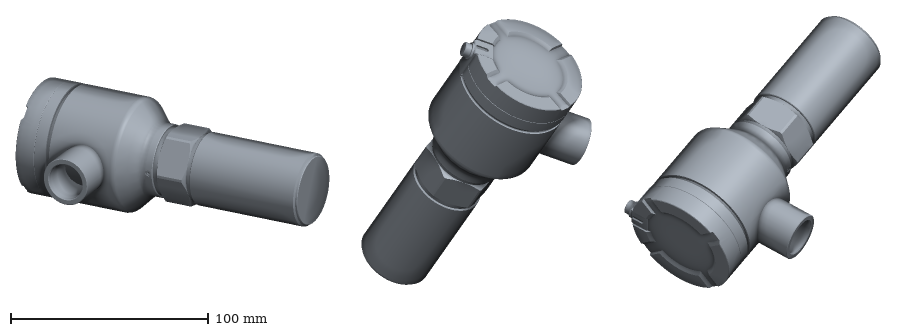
import cadquery as cq
import math


cut_clearance = 1.5

total_length = 154.5
body_radius = 30.0
lid_edge_chamfer = 0.3
lid_seam_x = 10.5
lid_seam_width = 0.3
lid_seam_depth = 0.2
groove_start_x = 16.8
groove_end_x = 19.0
groove_radius = 28.5
cone_start_x = 55.5
cone_blend_radius = 3.9
neck_radius = 19.0
neck_end_x = 72.3
undercut_radius = 17.9
shoulder_chamfer = 0.3
tube_start_x = 93.5
tube_end_x = 152.6
tube_chamfer_length = 0.6
tip_radius = 17.9
tip_chamfer = 0.3
cone_angle = math.radians(45)
cone_end_x = cone_start_x + (body_radius - neck_radius) / math.tan(cone_angle)

hex_start_x = 74.5
hex_end_x = 91.2
hex_across_flats = 36.0
hex_turned_radius = 20.4
hex_chamfer_length = 1.4

recess_depth = 1.4
recess_floor_radius = 19.6
recess_rim_radius = 21.6
slot_count = 4
slot_floor_half_width = 3.0
slot_steep_side_run = 0.5
slot_sloped_side_run = 1.9

entry_x = 37.9
entry_end_y = -48.0
entry_radius = 12.5
entry_bore_radius = 9.5
entry_outer_chamfer = 0.3
entry_bore_chamfer = 0.5

clip_half_width = 5.0
clip_notch_half_width = 5.5
clip_thickness = 1.0
clip_front_x = recess_depth - clip_thickness
clip_back_x = 18.5
clip_top_y = 30.7
clip_front_leg_y = 20.5
clip_back_leg_y = 29.0
clip_bend_radius = 1.5
clip_slot_end_y = 22.9
clip_slot_half_width = 1.2
screw_x = 5.0
washer_radius = 4.5
washer_top_y = 31.8
screw_head_radius = 3.7
screw_head_top_y = 35.2
screw_head_chamfer = 0.3

set_screw_x = 70.0
set_screw_hole_radius = 1.5
set_screw_hole_depth = 0.5
set_screw_socket_across_flats = 1.4
set_screw_socket_depth = 1.0


def across_corners(across_flats):
    """Corner-to-corner size of a regular hexagon."""
    return across_flats / math.cos(math.pi / 6)


def cylinder_along_y(x, start_y, end_y, radius):
    """Cylinder between two Y positions; the XZ plane extrudes toward -Y."""
    return cq.Workplane("XZ", origin=(x, start_y, 0)).circle(radius).extrude(start_y - end_y)


def revolve_about_x(profile):
    """Close an open XY profile along the X axis and turn it into a solid."""
    return profile.close().revolve(360, (0, 0, 0), (1, 0, 0))


def make_turned_body():
    """Lid, housing, cone, neck and tube as one turned profile with a rounded cone."""
    tangent = cone_blend_radius * math.tan(cone_angle / 2)
    tangent_x = tangent * math.cos(cone_angle)
    tangent_r = tangent * math.sin(cone_angle)
    middle_x = cone_blend_radius * math.sin(cone_angle / 2)
    middle_r = cone_blend_radius * (1 - math.cos(cone_angle / 2))
    arc_start_x = cone_start_x - tangent
    arc_end_x = cone_end_x + tangent
    profile = (
        cq.Workplane("XY")
        .lineTo(0, body_radius - lid_edge_chamfer)
        .lineTo(lid_edge_chamfer, body_radius)
        .lineTo(lid_seam_x - lid_seam_width / 2, body_radius)
        .lineTo(lid_seam_x, body_radius - lid_seam_depth)
        .lineTo(lid_seam_x + lid_seam_width / 2, body_radius)
        .lineTo(groove_start_x, body_radius)
        .lineTo(groove_start_x, groove_radius)
        .lineTo(groove_end_x, groove_radius)
        .lineTo(groove_end_x, body_radius)
        .lineTo(arc_start_x, body_radius)
        .threePointArc(
            (arc_start_x + middle_x, body_radius - middle_r),
            (cone_start_x + tangent_x, body_radius - tangent_r),
        )
        .lineTo(cone_end_x - tangent_x, neck_radius + tangent_r)
        .threePointArc((arc_end_x - middle_x, neck_radius + middle_r), (arc_end_x, neck_radius))
        .lineTo(neck_end_x - shoulder_chamfer, neck_radius)
        .lineTo(neck_end_x, neck_radius - shoulder_chamfer)
        .lineTo(neck_end_x, undercut_radius)
        .lineTo(tube_start_x, undercut_radius)
        .lineTo(tube_start_x, neck_radius - shoulder_chamfer)
        .lineTo(tube_start_x + shoulder_chamfer, neck_radius)
        .lineTo(tube_end_x, neck_radius)
        .lineTo(tube_end_x + tube_chamfer_length, tip_radius)
        .lineTo(total_length - tip_chamfer, tip_radius)
        .lineTo(total_length, tip_radius - tip_chamfer)
        .lineTo(total_length, 0)
    )
    return revolve_about_x(profile)


def make_hex_nut():
    """Hexagon with corners on +Y and -Y, turned down and chamfered at both ends."""
    hexagon = (
        cq.Workplane("YZ", origin=(hex_start_x, 0, 0))
        .polygon(6, across_corners(hex_across_flats))
        .extrude(hex_end_x - hex_start_x)
    )
    face_radius = hex_across_flats / 2
    envelope = (
        cq.Workplane("XY")
        .moveTo(hex_start_x, 0)
        .lineTo(hex_start_x, face_radius)
        .lineTo(hex_start_x + hex_chamfer_length, hex_turned_radius)
        .lineTo(hex_end_x - hex_chamfer_length, hex_turned_radius)
        .lineTo(hex_end_x, face_radius)
        .lineTo(hex_end_x, 0)
    )
    return hexagon.intersect(revolve_about_x(envelope))


def make_lid_recess():
    """Dished recess, four diagonal slots and the notch for the locking clip."""
    dish = (
        cq.Workplane("XY")
        .lineTo(0, recess_rim_radius)
        .lineTo(recess_depth, recess_floor_radius)
        .lineTo(recess_depth, 0)
    )
    recess = revolve_about_x(dish)

    slot_reach = body_radius + cut_clearance
    slot = (
        cq.Workplane("XY")
        .moveTo(0, -slot_floor_half_width - slot_sloped_side_run)
        .lineTo(recess_depth, -slot_floor_half_width)
        .lineTo(recess_depth, slot_floor_half_width)
        .lineTo(0, slot_floor_half_width + slot_steep_side_run)
        .close()
        .extrude(slot_reach)
    )
    for index in range(slot_count):
        angle = (index + 0.5) * 360 / slot_count
        recess = recess.union(slot.rotate((0, 0, 0), (1, 0, 0), angle))

    notch = cq.Workplane("XY").box(
        recess_depth, slot_reach, 2 * clip_notch_half_width, centered=(False, False, True)
    )
    return recess.union(notch)


def make_cable_entry():
    """Bored stub whose bore ends on the cylindrical wall of the housing."""
    stub = cylinder_along_y(entry_x, 0, entry_end_y, entry_radius)
    bore = cylinder_along_y(entry_x, 0, entry_end_y, entry_bore_radius)
    stub = stub.faces("<Y").chamfer(entry_outer_chamfer).cut(bore)
    return stub.faces("<Y").edges(cq.selectors.RadiusNthSelector(0)).chamfer(entry_bore_chamfer)


def make_locking_clip():
    """Bent strap over the lid rim with a slotted front leg, a washer and a screw head."""
    strap = (
        cq.Workplane("XY")
        .moveTo(clip_front_x, clip_front_leg_y)
        .lineTo(clip_front_x, clip_top_y)
        .lineTo(clip_back_x, clip_top_y)
        .lineTo(clip_back_x, clip_back_leg_y)
        .lineTo(clip_back_x - clip_thickness, clip_back_leg_y)
        .lineTo(clip_back_x - clip_thickness, clip_top_y - clip_thickness)
        .lineTo(clip_front_x + clip_thickness, clip_top_y - clip_thickness)
        .lineTo(clip_front_x + clip_thickness, clip_front_leg_y)
        .close()
        .extrude(clip_half_width, both=True)
    )
    front_bend = cq.selectors.NearestToPointSelector((clip_front_x, clip_top_y, 0))
    strap = strap.edges(front_bend).fillet(clip_bend_radius)
    back_bend = cq.selectors.NearestToPointSelector((clip_back_x, clip_top_y, 0))
    strap = strap.edges(back_bend).chamfer(clip_thickness / 2)

    slot_top_y = clip_top_y - clip_thickness
    slot_round_y = clip_slot_end_y + clip_slot_half_width
    slot = (
        cq.Workplane("YZ", origin=(clip_front_x, 0, 0))
        .moveTo(slot_top_y, clip_slot_half_width)
        .lineTo(slot_round_y, clip_slot_half_width)
        .threePointArc((clip_slot_end_y, 0), (slot_round_y, -clip_slot_half_width))
        .lineTo(slot_top_y, -clip_slot_half_width)
        .close()
        .extrude(clip_thickness)
    )
    strap = strap.cut(slot)

    washer = cylinder_along_y(screw_x, clip_top_y, washer_top_y, washer_radius)
    head = cylinder_along_y(screw_x, clip_top_y, screw_head_top_y, screw_head_radius)
    head = head.faces(">Y").chamfer(screw_head_chamfer)
    return strap.union(washer).union(head)


def make_set_screw_hole():
    """Shallow hole in the neck with a hexagon socket in its floor."""
    floor_y = -neck_radius + set_screw_hole_depth
    hole = cylinder_along_y(set_screw_x, floor_y, -neck_radius - cut_clearance, set_screw_hole_radius)
    socket = (
        cq.Workplane("XZ", origin=(set_screw_x, floor_y + set_screw_socket_depth, 0))
        .polygon(6, across_corners(set_screw_socket_across_flats))
        .extrude(set_screw_socket_depth)
    )
    return hole.union(socket)


turned_body = make_turned_body()

result = (
    turned_body
    .cut(make_lid_recess())
    .cut(make_set_screw_hole())
    .union(make_hex_nut())
    .union(make_cable_entry().cut(turned_body))
    .union(make_locking_clip())
)